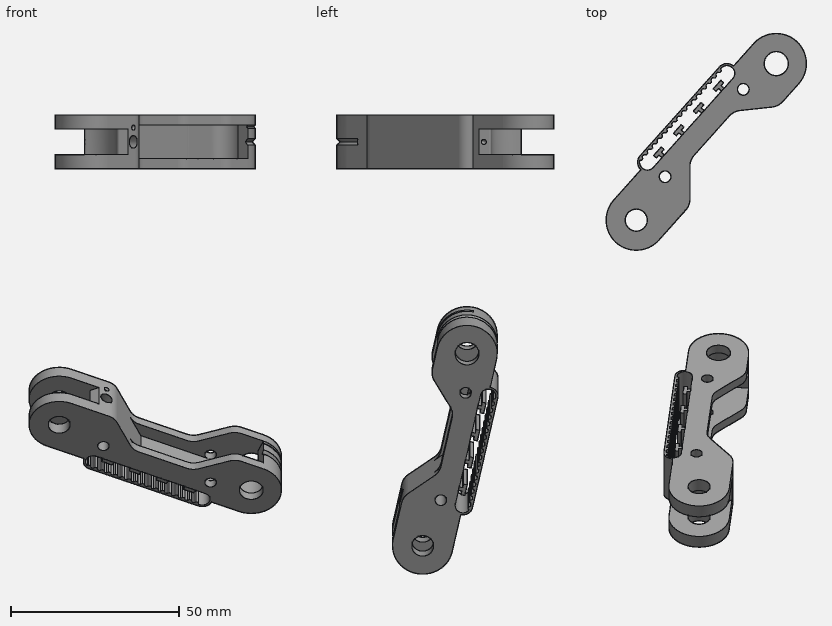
import cadquery as cq
import math

LINK_LENGTH = 62.5
LINK_ANGLE = 48.19
THICKNESS = 16.0
MID_Z = THICKNESS / 2
END_RADIUS = 9.0
LOWER_PIVOT_DIAMETER = 6.5
UPPER_PIVOT_DIAMETER = 7.1
OVERCUT = 5.0

RELIEF_CENTRE = 33.72
RELIEF_WIDTH = 19.44
RELIEF_FLOOR_Y = 0.0
RELIEF_SLOPE = 42.0
RELIEF_GRADIENT = math.tan(math.radians(RELIEF_SLOPE))
RELIEF_FILLET = 5.0

CHANNEL_CENTRE = 32.8
CHANNEL_LENGTH = 40.1
CHANNEL_RADIUS = 2.3
CHANNEL_WALL = 0.65
CHANNEL_Y = END_RADIUS
TOOTH_COUNT = 17
TOOTH_PITCH = 2.19
FIRST_TOOTH_X = 14.6
TOOTH_HEIGHT = 0.6
TOOTH_ROOT_WIDTH = 1.5
TOOTH_TIP_WIDTH = 0.7

POST_COUNT = 4
POST_PITCH = 8.87
POST_BAR_WIDTH = 3.45
POST_STEM_WIDTH = 1.15
POST_BAR_THICKNESS = 1.15
POST_END_GAP = 1.5

PIN_DIAMETER = 3.4
PIN_SPACING = 34.9
PIN_Y = 2.2

FORK_GAP = 7.6
FORK_CLEARANCE_RADIUS = 9.6
FORK_CHAMFER_OFFSET = 0.3
FORK_CORNER_RADIUS = 0.7
FORK_TURN = -1.0

POCKET_HEIGHT = 10.0
POCKET_FLOOR_Y = 3.85
POCKET_RADIUS = 5.0

GROOVE_DEPTH = 1.0
GROOVE_START_X = 58.25
GROOVE_SWEEP = 180
SMALL_GROOVE_DEPTH = 0.5
SMALL_GROOVE_SWEEP = 90
SMALL_GROOVE_Z = 12.5

SIDE_HOLE_X = 11.45
SIDE_HOLE_DIAMETER = 3.7
SIDE_HOLE_DEPTH = 5.0
DIMPLE_RADIUS = 0.75
SIDE_DIMPLE_Z = 12.25
FORK_DIMPLE_Y = 8.2


def relief_corners(side):
    """Corners of one end of the relief: on its floor and on the outer edge of the link."""
    floor_x = RELIEF_CENTRE + side * RELIEF_WIDTH / 2
    edge_x = floor_x + side * (RELIEF_FLOOR_Y + END_RADIUS) / RELIEF_GRADIENT
    return (floor_x, RELIEF_FLOOR_Y), (edge_x, -END_RADIUS)


def make_body():
    """Plan outline of the link without the channel, with the relief corners rounded."""
    left_floor, left_edge = relief_corners(-1)
    right_floor, right_edge = relief_corners(1)
    body = (
        cq.Workplane("XY")
        .moveTo(0, END_RADIUS)
        .threePointArc((-END_RADIUS, 0), (0, -END_RADIUS))
        .lineTo(*left_edge)
        .lineTo(*left_floor)
        .lineTo(*right_floor)
        .lineTo(*right_edge)
        .lineTo(LINK_LENGTH, -END_RADIUS)
        .threePointArc((LINK_LENGTH + END_RADIUS, 0), (LINK_LENGTH, END_RADIUS))
        .close()
        .extrude(THICKNESS)
    )
    for corner in (left_edge, left_floor, right_floor, right_edge):
        body = body.edges(cq.selectors.NearestToPointSelector((*corner, MID_Z))).fillet(RELIEF_FILLET)
    return body


def channel_slot(wall):
    """Round-ended block the size of the channel, grown by `wall` on every side."""
    return (
        cq.Workplane("XY")
        .center(CHANNEL_CENTRE, CHANNEL_Y)
        .slot2D(CHANNEL_LENGTH + 2 * wall, 2 * (CHANNEL_RADIUS + wall))
        .extrude(THICKNESS)
    )


def make_tooth(index):
    root_y = CHANNEL_Y + CHANNEL_RADIUS + CHANNEL_WALL / 2
    valley_y = CHANNEL_Y + CHANNEL_RADIUS
    tip_y = valley_y - TOOTH_HEIGHT
    return (
        cq.Workplane("XY")
        .center(FIRST_TOOTH_X + index * TOOTH_PITCH, 0)
        .moveTo(-TOOTH_ROOT_WIDTH / 2, root_y)
        .lineTo(-TOOTH_ROOT_WIDTH / 2, valley_y)
        .lineTo(-TOOTH_TIP_WIDTH / 2, tip_y)
        .lineTo(TOOTH_TIP_WIDTH / 2, tip_y)
        .lineTo(TOOTH_ROOT_WIDTH / 2, valley_y)
        .lineTo(TOOTH_ROOT_WIDTH / 2, root_y)
        .close()
        .extrude(THICKNESS)
    )


def make_post(index):
    x = CHANNEL_CENTRE + (index - (POST_COUNT - 1) / 2) * POST_PITCH
    base_y = CHANNEL_Y - CHANNEL_RADIUS - CHANNEL_WALL
    height = THICKNESS - 2 * POST_END_GAP
    bar = cq.Workplane("XY").box(
        POST_BAR_WIDTH, POST_BAR_THICKNESS, height, centered=(True, False, False)
    ).translate((x, CHANNEL_Y - POST_BAR_THICKNESS, POST_END_GAP))
    stem = cq.Workplane("XY").box(
        POST_STEM_WIDTH, CHANNEL_Y - base_y, height, centered=(True, False, False)
    ).translate((x, base_y, POST_END_GAP))
    return bar.union(stem)


def add_channel(body):
    body = body.union(channel_slot(CHANNEL_WALL)).cut(channel_slot(0))
    for index in range(TOOTH_COUNT):
        body = body.union(make_tooth(index))
    for index in range(POST_COUNT):
        body = body.union(make_post(index))
    return body


def vertical_hole(x, y, diameter):
    return cq.Workplane("XY").center(x, y).circle(diameter / 2).extrude(THICKNESS)


def make_fork_slot():
    """Slot for the next link: a round floor that flares to both sides with 45 degree chamfers."""
    half_offset = FORK_CHAMFER_OFFSET / 2
    middle = math.sqrt(FORK_CLEARANCE_RADIUS**2 / 2 - half_offset**2)
    corner_x = middle + half_offset
    corner_y = middle - half_offset
    side_y = END_RADIUS + OVERCUT
    side_x = side_y + FORK_CHAMFER_OFFSET
    back_x = -END_RADIUS - OVERCUT
    slot = (
        cq.Workplane("XY", origin=(0, 0, MID_Z - FORK_GAP / 2))
        .moveTo(back_x, -side_y)
        .lineTo(side_x, -side_y)
        .lineTo(corner_x, -corner_y)
        .threePointArc((FORK_CLEARANCE_RADIUS, 0), (corner_x, corner_y))
        .lineTo(side_x, side_y)
        .lineTo(back_x, side_y)
        .close()
        .extrude(FORK_GAP)
    )
    for side in (-1, 1):
        corner = cq.selectors.NearestToPointSelector((corner_x, side * corner_y, MID_Z))
        slot = slot.edges(corner).fillet(FORK_CORNER_RADIUS)
    return slot.rotate((0, 0, 0), (0, 0, 1), FORK_TURN)


def make_pocket():
    """Pocket from the sloping relief face to the upper pivot, ending in a square wall there."""
    pin_x = CHANNEL_CENTRE + PIN_SPACING / 2
    run = LINK_LENGTH - pin_x
    to_pivot = math.atan2(-POCKET_FLOOR_Y, run)
    slope = to_pivot + math.asin(POCKET_RADIUS / math.hypot(run, POCKET_FLOOR_Y))
    tangent_point = (
        LINK_LENGTH - POCKET_RADIUS * math.sin(slope),
        POCKET_RADIUS * math.cos(slope),
    )
    relief_x = RELIEF_CENTRE - RELIEF_WIDTH / 2
    floor_start_x = relief_x + (POCKET_FLOOR_Y - RELIEF_FLOOR_Y) / RELIEF_GRADIENT
    open_y = -END_RADIUS - OVERCUT
    open_x = relief_x + (open_y - RELIEF_FLOOR_Y) / RELIEF_GRADIENT
    return (
        cq.Workplane("XY", origin=(0, 0, MID_Z - POCKET_HEIGHT / 2))
        .moveTo(open_x, open_y)
        .lineTo(floor_start_x, POCKET_FLOOR_Y)
        .lineTo(pin_x, POCKET_FLOOR_Y)
        .lineTo(*tangent_point)
        .threePointArc((LINK_LENGTH + POCKET_RADIUS, 0), (LINK_LENGTH, -POCKET_RADIUS))
        .lineTo(LINK_LENGTH, open_y)
        .close()
        .extrude(POCKET_HEIGHT)
    )


def groove_profile(plane, depth):
    """Triangle with 45 degree flanks, its point `depth` inside the outer face and its base as far outside."""
    reach = 2 * depth
    return (
        cq.Workplane(plane)
        .moveTo(END_RADIUS - depth, 0)
        .lineTo(END_RADIUS - depth + reach, reach)
        .lineTo(END_RADIUS - depth + reach, -reach)
        .close()
    )


def round_groove(z, depth, sweep):
    """Groove around the upper end, from the pocket wall through `sweep` degrees."""
    plane = cq.Plane(origin=(LINK_LENGTH, 0, z), xDir=(0, -1, 0), normal=(-1, 0, 0))
    return groove_profile(plane, depth).revolve(sweep, (0, 0, 0), (0, 1, 0))


def straight_groove(z, depth):
    plane = cq.Plane(origin=(GROOVE_START_X, 0, z), xDir=(0, 1, 0), normal=(1, 0, 0))
    return groove_profile(plane, depth).extrude(LINK_LENGTH - GROOVE_START_X)


def make_side_hole():
    start = cq.Vector(SIDE_HOLE_X, -END_RADIUS, MID_Z)
    inward = cq.Vector(0, 1, 0)
    return cq.Workplane(cq.Solid.makeCylinder(SIDE_HOLE_DIAMETER / 2, SIDE_HOLE_DEPTH, start, inward))


def make_dimple(centre, inward):
    """Cone whose mouth lies on the face at `centre`, widened outwards so that it cuts cleanly."""
    axis = cq.Vector(*inward).normalized()
    start = cq.Vector(*centre) - axis * DIMPLE_RADIUS
    return cq.Workplane(cq.Solid.makeCone(2 * DIMPLE_RADIUS, 0, 2 * DIMPLE_RADIUS, start, axis))


def make_fork_dimple():
    """Dimple square to the fork chamfer on the channel side."""
    centre = (FORK_DIMPLE_Y + FORK_CHAMFER_OFFSET, FORK_DIMPLE_Y, MID_Z)
    return make_dimple(centre, (1, -1, 0)).rotate((0, 0, 0), (0, 0, 1), FORK_TURN)


link = add_channel(make_body())
link = link.cut(vertical_hole(0, 0, LOWER_PIVOT_DIAMETER))
link = link.cut(vertical_hole(LINK_LENGTH, 0, UPPER_PIVOT_DIAMETER))
for side in (-1, 1):
    link = link.cut(vertical_hole(CHANNEL_CENTRE + side * PIN_SPACING / 2, PIN_Y, PIN_DIAMETER))
link = link.cut(make_fork_slot()).cut(make_pocket())
link = link.cut(make_side_hole()).cut(make_fork_dimple())
link = link.cut(make_dimple((SIDE_HOLE_X, -END_RADIUS, SIDE_DIMPLE_Z), (0, 1, 0)))
link = link.cut(round_groove(MID_Z, GROOVE_DEPTH, GROOVE_SWEEP)).cut(straight_groove(MID_Z, GROOVE_DEPTH))
link = link.cut(round_groove(SMALL_GROOVE_Z, SMALL_GROOVE_DEPTH, SMALL_GROOVE_SWEEP))

result = link.rotate((0, 0, 0), (0, 0, 1), LINK_ANGLE)